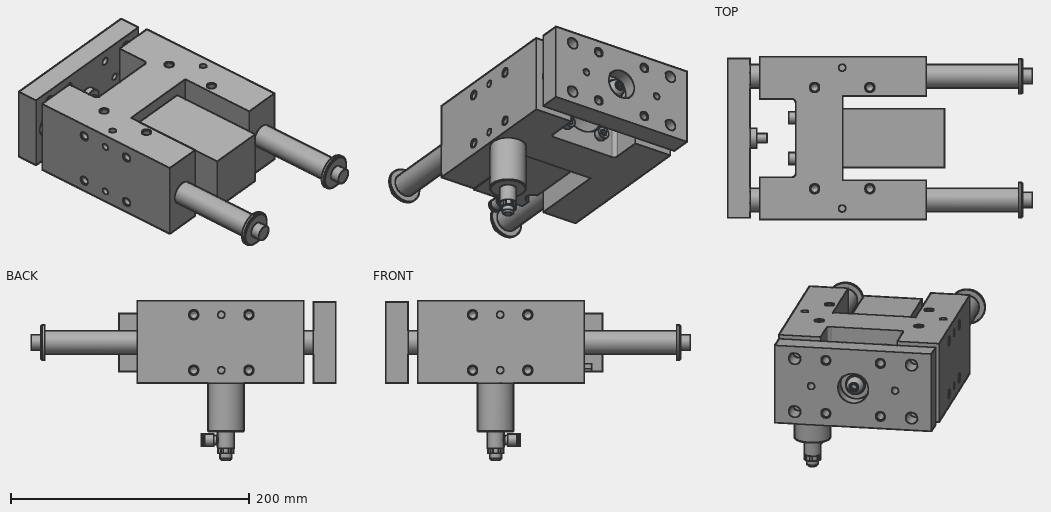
import cadquery as cq
import math

TOTAL_LENGTH = 256.0
TOTAL_HEIGHT = 134.1
ROD_DIAMETER = 20.0
ROD_Y = 52.0

PLATE_THICKNESS = 19.0
PLATE_WIDTH = 134.0
PLATE_HEIGHT = 68.0
BOLT_ROW_Z = 23.3
PLATE_BOLT_Y = 50.0
PLATE_BOLT_DIAMETER = 10.0
PLATE_TAP_Y = 23.3
PLATE_DOWEL_Y = 35.8

RECESS_DIAMETER = 25.9
RECESS_DEPTH = 12.5
WASHER_DIAMETER = 16.5
WASHER_THICKNESS = 2.5
BUTTON_DIAMETER = 15.0
BUTTON_TIP_DIAMETER = 8.0
BUTTON_FRONT_X = 3.3
DOME_DEPTH_RATIO = 0.3
DOME_SPREAD_RATIO = 0.7
BUTTON_SOCKET_DEPTH = 3.0
BUTTON_SOCKET = 6.0
COLLAR_DIAMETER = 17.0
COLLAR_LENGTH = 5.6
STUD_DIAMETER = 8.0
STUD_LENGTH = 8.7
STUD_CHAMFER = 0.38

END_HEAD_DIAMETER = 13.0
END_HEAD_LENGTH = 8.2
STOP_DIAMETER = 29.7
STOP_THICKNESS = 3.3
STOP_CHAMFER = 1.0

HOUSING_FRONT_X = 27.0
HOUSING_LENGTH = 140.0
HOUSING_WIDTH = 137.0
HOUSING_HEIGHT = 69.0
HOUSING_BOTTOM_Z = -PLATE_HEIGHT / 2
FRONT_BAY_DEPTH = 30.2
FRONT_BAY_WIDTH = 65.5
FRONT_BAY_RADIUS = 3.0
REAR_BAY_DEPTH = 70.1
REAR_BAY_WIDTH = 70.7
WEB_BORE_DIAMETER = 36.9

TAP_DIAMETER = 6.7
TAP_MOUTH_DIAMETER = 8.2
TAP_DEPTH = 14.0
DRILL_POINT_ANGLE = 118.0
DOWEL_DIAMETER = 6.0
DOWEL_DEPTH = 7.7
HOLE_CENTRE_X = 96.3
HOLE_PITCH_X = 46.3
TOP_TAP_Y = 42.5
TOP_DOWEL_Y = 59.1

BLOCK_REAR_X = 182.3
BLOCK_WIDTH = 49.7
BLOCK_HEIGHT = 49.0
NOTCH_END_X = 173.0
NOTCH_DIAMETER = 8.0
NOTCH_HEIGHT = 6.7
NOTCH_MOUTH_DIAMETER = 12.8
NOTCH_MOUTH_HEIGHT = 2.5

CAP_SCREW_OFFSET = 17.2
CAP_SCREW_DIAMETER = 10.2
CAP_SCREW_HEIGHT = 6.0
CAP_SCREW_SOCKET = 6.0
CAP_SCREW_SOCKET_DEPTH = 3.0

SENSOR_X = 92.5
SENSOR_DIAMETER = 30.5
SENSOR_BOTTOM_Z = -74.8
SENSOR_CHAMFER = 0.8
NECK_DIAMETER = 14.0
NUT_DIAMETER = 13.8
NUT_TOP_Z = -88.8
NUT_BOTTOM_Z = -93.2
NUT_SLOTS = 6
NUT_SLOT_WIDTH = 2.3
NUT_SLOT_DEPTH = 0.8
TIP_DIAMETER = 10.0
TIP_BOTTOM_Z = HOUSING_BOTTOM_Z + HOUSING_HEIGHT - TOTAL_HEIGHT
TIP_CHAMFER = 1.8
PLUG_Z = -82.0
PLUG_STEM_DIAMETER = 6.0
PLUG_COLLAR_DIAMETER = 8.2
PLUG_DIAMETER = 10.5
PLUG_COLLAR_START = 7.7
PLUG_START = 10.0
PLUG_END = 20.7
KNURL_LENGTH = 3.0
KNURL_GROOVES = 24
KNURL_GROOVE_SIZE = 0.5

HOUSING_REAR_X = HOUSING_FRONT_X + HOUSING_LENGTH
HOUSING_TOP_Z = HOUSING_BOTTOM_Z + HOUSING_HEIGHT
WEB_FRONT_X = HOUSING_FRONT_X + FRONT_BAY_DEPTH
WEB_REAR_X = HOUSING_REAR_X - REAR_BAY_DEPTH
HOLE_ROW_X = (HOLE_CENTRE_X - HOLE_PITCH_X / 2, HOLE_CENTRE_X + HOLE_PITCH_X / 2)
SIDES = (-1, 1)

ALONG_X = cq.Vector(1, 0, 0)
DOWN = cq.Vector(0, 0, -1)


def box(x_start, x_end, width, z_bottom, z_top):
    """Block centred on Y = 0."""
    size = (x_end - x_start, width, z_top - z_bottom)
    return cq.Workplane("XY").box(*size, centered=(False, True, False)).translate((x_start, 0, z_bottom))


def cylinder(diameter, start, length, direction):
    return cq.Workplane(cq.Solid.makeCylinder(diameter / 2, length, cq.Vector(*start), direction))


def cone(start_diameter, end_diameter, start, length, direction):
    radii = (start_diameter / 2, end_diameter / 2)
    return cq.Workplane(cq.Solid.makeCone(*radii, length, cq.Vector(*start), direction))


def rod_along_x(diameter, x_start, x_end, y=0.0, z=0.0):
    return cylinder(diameter, (x_start, y, z), x_end - x_start, ALONG_X)


def hex_socket(corner_diameter, x_start, depth, y=0.0, z=0.0):
    """Hexagonal recess along +X with corners at top and bottom."""
    hexagon = cq.Workplane("YZ", origin=(x_start, y, z)).polygon(6, corner_diameter)
    return hexagon.extrude(depth).rotate((x_start, y, z), (x_start + 2.5, y, z), 90)


def tap_mouth(start, direction):
    chamfer = (TAP_MOUTH_DIAMETER - TAP_DIAMETER) / 2
    return cone(TAP_MOUTH_DIAMETER, TAP_DIAMETER, start, chamfer, direction)


def tapped_hole(start, direction):
    """Blind hole with a countersunk mouth and a drill point."""
    point_length = TAP_DIAMETER / 2 / math.tan(math.radians(DRILL_POINT_ANGLE / 2))
    point_start = cq.Vector(*start) + direction * TAP_DEPTH
    hole = cylinder(TAP_DIAMETER, start, TAP_DEPTH, direction)
    hole = hole.union(cone(TAP_DIAMETER, 0, point_start.toTuple(), point_length, direction))
    return hole.union(tap_mouth(start, direction))


def make_plate():
    plate = box(0, PLATE_THICKNESS, PLATE_WIDTH, -PLATE_HEIGHT / 2, PLATE_HEIGHT / 2)
    for y_side in SIDES:
        for z_side in SIDES:
            z = z_side * BOLT_ROW_Z
            tap_y = y_side * PLATE_TAP_Y
            plate = plate.cut(rod_along_x(PLATE_BOLT_DIAMETER, 0, PLATE_THICKNESS, y_side * PLATE_BOLT_Y, z))
            plate = plate.cut(rod_along_x(TAP_DIAMETER, 0, PLATE_THICKNESS, tap_y, z))
            plate = plate.cut(tap_mouth((0, tap_y, z), ALONG_X))
        plate = plate.cut(rod_along_x(DOWEL_DIAMETER, 0, PLATE_THICKNESS, y_side * PLATE_DOWEL_Y))
    return plate.cut(rod_along_x(RECESS_DIAMETER, 0, RECESS_DEPTH))


def make_coupling():
    washer_front_x = RECESS_DEPTH - WASHER_THICKNESS
    button_height = washer_front_x - BUTTON_FRONT_X
    rim_radius = BUTTON_DIAMETER / 2
    tip_radius = BUTTON_TIP_DIAMETER / 2
    dome_point = (
        BUTTON_FRONT_X + DOME_DEPTH_RATIO * button_height,
        tip_radius + DOME_SPREAD_RATIO * (rim_radius - tip_radius),
    )
    button = (
        cq.Workplane("XY")
        .moveTo(washer_front_x, 0)
        .lineTo(washer_front_x, rim_radius)
        .threePointArc(dome_point, (BUTTON_FRONT_X, tip_radius))
        .lineTo(BUTTON_FRONT_X, 0)
        .close()
        .revolve(360, (0, 0, 0), (1, 0, 0))
    )
    button = button.cut(hex_socket(BUTTON_SOCKET, BUTTON_FRONT_X, BUTTON_SOCKET_DEPTH))
    collar_end_x = PLATE_THICKNESS + COLLAR_LENGTH
    coupling = button.union(rod_along_x(WASHER_DIAMETER, washer_front_x, RECESS_DEPTH))
    coupling = coupling.union(rod_along_x(COLLAR_DIAMETER, RECESS_DEPTH, collar_end_x))
    stud = rod_along_x(STUD_DIAMETER, collar_end_x, collar_end_x + STUD_LENGTH)
    return coupling.union(stud.faces(">X").chamfer(STUD_CHAMFER))


def make_guide_rod(y):
    stop_rear_x = TOTAL_LENGTH - END_HEAD_LENGTH
    stop_front_x = stop_rear_x - STOP_THICKNESS
    stop = rod_along_x(STOP_DIAMETER, stop_front_x, stop_rear_x, y).faces(">X").chamfer(STOP_CHAMFER)
    rod = rod_along_x(ROD_DIAMETER, PLATE_THICKNESS, stop_front_x, y).union(stop)
    return rod.union(rod_along_x(END_HEAD_DIAMETER, stop_rear_x, TOTAL_LENGTH, y))


def make_slide():
    slide = make_plate().union(make_coupling())
    for y_side in SIDES:
        slide = slide.union(make_guide_rod(y_side * ROD_Y))
    return slide


def make_housing_block():
    block = box(HOUSING_FRONT_X, HOUSING_REAR_X, HOUSING_WIDTH, HOUSING_BOTTOM_Z, HOUSING_TOP_Z)
    front_bay = box(HOUSING_FRONT_X, WEB_FRONT_X, FRONT_BAY_WIDTH, HOUSING_BOTTOM_Z, HOUSING_TOP_Z)
    front_bay = front_bay.edges("|Z and >X").fillet(FRONT_BAY_RADIUS)
    rear_bay = box(WEB_REAR_X, HOUSING_REAR_X, REAR_BAY_WIDTH, HOUSING_BOTTOM_Z, HOUSING_TOP_Z)
    block = block.cut(front_bay).cut(rear_bay)
    return block.cut(rod_along_x(WEB_BORE_DIAMETER, WEB_FRONT_X, WEB_REAR_X))


def cut_mounting_holes(block):
    for y_side in SIDES:
        side_y = y_side * HOUSING_WIDTH / 2
        inward = cq.Vector(0, -y_side, 0)
        for x in HOLE_ROW_X:
            block = block.cut(tapped_hole((x, y_side * TOP_TAP_Y, HOUSING_TOP_Z), DOWN))
            for z_side in SIDES:
                block = block.cut(tapped_hole((x, side_y, z_side * BOLT_ROW_Z), inward))
        top_dowel = (HOLE_CENTRE_X, y_side * TOP_DOWEL_Y, HOUSING_TOP_Z)
        block = block.cut(cylinder(DOWEL_DIAMETER, top_dowel, DOWEL_DEPTH, DOWN))
        for z_side in SIDES:
            side_dowel = (HOLE_CENTRE_X, side_y, z_side * BOLT_ROW_Z)
            block = block.cut(cylinder(DOWEL_DIAMETER, side_dowel, DOWEL_DEPTH, inward))
    return block


def make_drive_block():
    """Block on the rear of the web, with a stepped round notch in its lower -Y edge."""
    bottom_z = -BLOCK_HEIGHT / 2
    block = box(WEB_REAR_X, BLOCK_REAR_X, BLOCK_WIDTH, bottom_z, -bottom_z)
    steps = ((NOTCH_DIAMETER, NOTCH_HEIGHT), (NOTCH_MOUTH_DIAMETER, NOTCH_MOUTH_HEIGHT))
    for diameter, height in steps:
        step_top = (NOTCH_END_X - diameter / 2, -BLOCK_WIDTH / 2, bottom_z + height)
        block = block.cut(cylinder(diameter, step_top, height, DOWN))
    return block


def make_cap_screw(y, z):
    front_x = WEB_FRONT_X - CAP_SCREW_HEIGHT
    head = rod_along_x(CAP_SCREW_DIAMETER, front_x, WEB_FRONT_X, y, z)
    return head.cut(hex_socket(CAP_SCREW_SOCKET, front_x, CAP_SCREW_SOCKET_DEPTH, y, z))


def sensor_stage(diameter, z_top, z_bottom):
    return cylinder(diameter, (SENSOR_X, ROD_Y, z_top), z_top - z_bottom, DOWN)


def make_lock_nut():
    nut = sensor_stage(NUT_DIAMETER, NUT_TOP_Z, NUT_BOTTOM_Z)
    slots = (
        cq.Workplane("XY", origin=(SENSOR_X, ROD_Y, NUT_TOP_Z))
        .polarArray(NUT_DIAMETER / 2, 0, 360, NUT_SLOTS)
        .rect(2 * NUT_SLOT_DEPTH, NUT_SLOT_WIDTH)
        .extrude(NUT_BOTTOM_Z - NUT_TOP_Z)
    )
    return nut.cut(slots)


def make_plug():
    """Stepped plug pointing to +X, with a knurled end."""
    collar_x = SENSOR_X + PLUG_COLLAR_START
    body_x = SENSOR_X + PLUG_START
    end_x = SENSOR_X + PLUG_END
    knurl = (
        cq.Workplane("YZ", origin=(end_x, ROD_Y, PLUG_Z))
        .polarArray(PLUG_DIAMETER / 2, 0, 360, KNURL_GROOVES)
        .rect(KNURL_GROOVE_SIZE, KNURL_GROOVE_SIZE)
        .extrude(-KNURL_LENGTH)
    )
    plug = rod_along_x(PLUG_DIAMETER, body_x, end_x, ROD_Y, PLUG_Z).cut(knurl)
    plug = plug.union(rod_along_x(PLUG_COLLAR_DIAMETER, collar_x, body_x, ROD_Y, PLUG_Z))
    return plug.union(rod_along_x(PLUG_STEM_DIAMETER, SENSOR_X, collar_x, ROD_Y, PLUG_Z))


def make_sensor():
    sensor = sensor_stage(SENSOR_DIAMETER, HOUSING_BOTTOM_Z, SENSOR_BOTTOM_Z)
    sensor = sensor.faces("<Z").chamfer(SENSOR_CHAMFER)
    tip = sensor_stage(TIP_DIAMETER, NUT_BOTTOM_Z, TIP_BOTTOM_Z).faces("<Z").chamfer(TIP_CHAMFER)
    sensor = sensor.union(sensor_stage(NECK_DIAMETER, SENSOR_BOTTOM_Z, NUT_TOP_Z))
    return sensor.union(make_lock_nut()).union(tip).union(make_plug())


def make_housing():
    housing = cut_mounting_holes(make_housing_block())
    housing = housing.union(make_drive_block()).union(make_sensor())
    for y_side in SIDES:
        for z_side in SIDES:
            housing = housing.union(make_cap_screw(y_side * CAP_SCREW_OFFSET, z_side * CAP_SCREW_OFFSET))
        rod_bore = rod_along_x(ROD_DIAMETER, HOUSING_FRONT_X, HOUSING_REAR_X, y_side * ROD_Y)
        housing = housing.cut(rod_bore)
    return housing


slide = make_slide()
housing = make_housing()

result = cq.Compound.makeCompound([slide.solids().val(), housing.solids().val()])